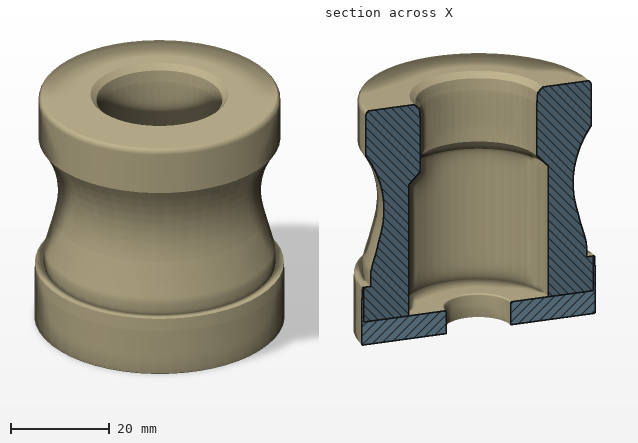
import cadquery as cq
import math

height = 50.8
outer_radius = 25.4

cup_height = 12.6
cup_taper_start = 9.85
cup_rim_radius = 25.25
cup_inner_radius = 24.85
cup_floor = 5.1
cup_bottom_chamfer = 0.2
floor_hole_radius = 6.95
floor_hole_fillet = 0.35

collar_radius = 23.5
collar_top = 15.0
cone_bottom = 16.15
cone_top = 23.55
cone_angle = math.radians(15.4)
lip_bottom = 40.95
lip_radius = 24.55
lip_round_height = 1.1
lip_round_depth = 0.6

collar_round_radius = (cone_bottom - collar_top) / math.sin(cone_angle)
cone_bottom_radius = collar_radius - collar_round_radius * (1 - math.cos(cone_angle))
cone_top_radius = cone_bottom_radius - (cone_top - cone_bottom) * math.tan(cone_angle)

mouth_radius = 12.8
mouth_chamfer = 1.15
mouth_depth = 3.55
bore_radius = 12.6
bore_depth = 14.85
chamber_radius = 15.15
chamber_top = height - bore_depth - (chamber_radius - bore_radius)


def make_cup():
    """Open cup with a tapered rim and a hole through its floor."""
    profile = (
        cq.Workplane("XZ")
        .moveTo(floor_hole_radius, 0)
        .lineTo(outer_radius - cup_bottom_chamfer, 0)
        .lineTo(outer_radius, cup_bottom_chamfer)
        .lineTo(outer_radius, cup_taper_start)
        .lineTo(cup_rim_radius, cup_height)
        .lineTo(cup_inner_radius, cup_height)
        .lineTo(cup_inner_radius, cup_floor)
        .lineTo(floor_hole_radius + floor_hole_fillet, cup_floor)
        .radiusArc((floor_hole_radius, cup_floor - floor_hole_fillet), -floor_hole_fillet)
        .close()
    )
    return profile.revolve(360, (0, 0, 0), (0, 1, 0))


def make_adapter():
    """Waisted hollow adapter whose foot fills the cup."""
    profile = (
        cq.Workplane("XZ")
        .moveTo(chamber_radius, cup_floor)
        .lineTo(cup_inner_radius, cup_floor)
        .lineTo(cup_inner_radius, cup_height)
        .lineTo(collar_radius, cup_height)
        .lineTo(collar_radius, collar_top)
        .tangentArcPoint((cone_bottom_radius, cone_bottom), relative=False)
        .lineTo(cone_top_radius, cone_top)
        .tangentArcPoint((lip_radius, lip_bottom), relative=False)
        .lineTo(lip_radius, height - lip_round_height)
        .tangentArcPoint((lip_radius - lip_round_depth, height), relative=False)
        .lineTo(mouth_radius + mouth_chamfer, height)
        .lineTo(mouth_radius, height - mouth_chamfer)
        .lineTo(bore_radius, height - mouth_depth)
        .lineTo(bore_radius, height - bore_depth)
        .lineTo(chamber_radius, chamber_top)
        .close()
    )
    return profile.revolve(360, (0, 0, 0), (0, 1, 0))


cup = make_cup()
adapter = make_adapter()

result = cq.Compound.makeCompound([cup.val(), adapter.val()])